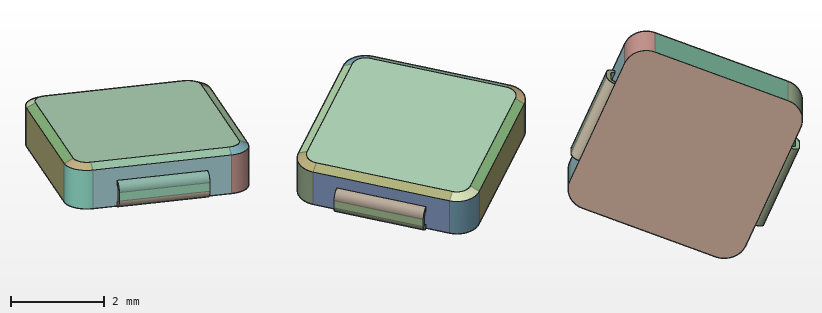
import cadquery as cq

body_side = 4.06
body_height = 1.0
corner_radius = 0.5
chamfer_inset = 0.2
chamfer_drop = 0.1

span_over_terminals = 4.45
terminal_width = 2.0
terminal_height = 0.6
strip_thickness = 0.1
bend_radius = 0.2


def make_body():
    """Square block with rounded corners and a shallow bevel around the top."""
    block = (
        cq.Workplane("XY")
        .rect(body_side, body_side)
        .extrude(body_height)
        .edges("|Z")
        .fillet(corner_radius)
    )
    return block.faces(">Z").chamfer(chamfer_drop, chamfer_inset)


def bar_along_y(x_min, x_max, z_min, z_max, radius):
    """Bar as long as a terminal is wide, rounded on its long -X edges."""
    return (
        cq.Workplane("XY")
        .box(x_max - x_min, terminal_width, z_max - z_min, centered=(False, True, False))
        .translate((x_min, 0, z_min))
        .edges("|Y and <X")
        .fillet(radius)
    )


def make_terminal():
    """C-shaped strip on the -X side, its two legs ending inside the body."""
    outer_x = -span_over_terminals / 2
    leg_end_x = outer_x + bend_radius + strip_thickness
    outside = bar_along_y(outer_x, leg_end_x, 0, terminal_height, bend_radius)
    inside = bar_along_y(
        outer_x + strip_thickness,
        leg_end_x,
        strip_thickness,
        terminal_height - strip_thickness,
        bend_radius - strip_thickness,
    )
    return outside.cut(inside)


terminal = make_terminal()
result = make_body().union(terminal).union(terminal.mirror("YZ"))